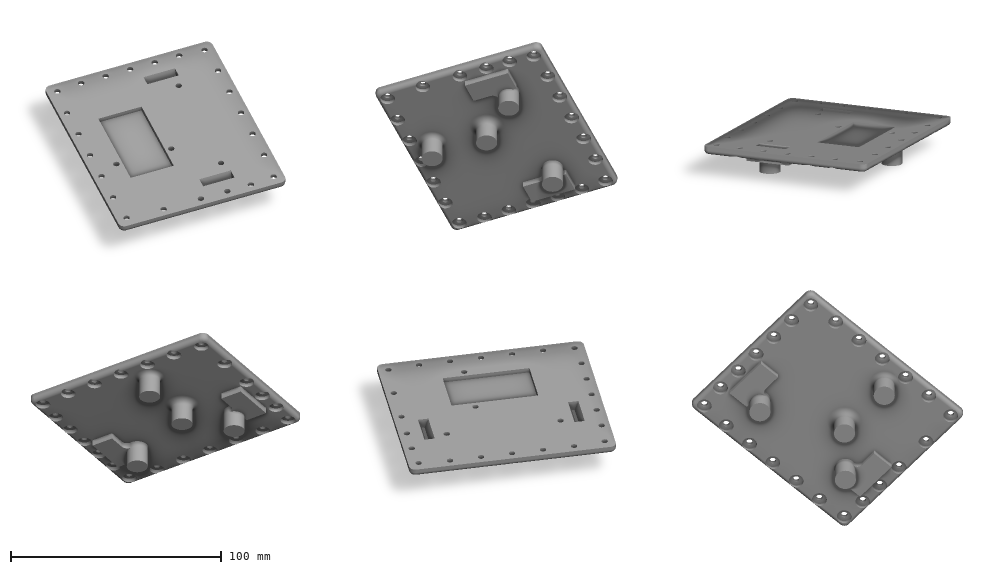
import cadquery as cq
import math

PLATE_X = 100.0
PLATE_Y = 85.0
PLATE_T = 4.0
CORNER_R = 3.0
EDGE_R = 2.0

ROOT_DEPTH = PLATE_T / 2

SCREW_D = 3.0
HEAD_D = 7.0
HEAD_DEPTH = 2.0
CORNER_SCREW_X = 45.0
CORNER_SCREW_Y = 37.5
ROW_SCREW_PITCH = 15.0
ROW_SCREW_Y = 38.5
SIDE_SCREW_X = 46.0
LEFT_SCREW_PITCH = 12.5
RIGHT_SCREW_YS = (25.5, 13.5, 0.0, -19.0)

TOTAL_Z = 15.0
BOSS_D = 10.0
BOSS_HOLE_D = 3.0
BOSS_HOLE_DEPTH = 12.0
SIDE_BOSS_X = 27.5
SIDE_BOSS_Y = 17.5
SIDE_BOSS_FLARE_R = 3.0
SIDE_BOSS_FLARE_H = 1.0
MID_BOSS_X = 10.0
REAR_BOSS_Y = -1.0
REAR_BOSS_FLARE_R = 3.0
FRONT_BOSS_Y = -29.0
FRONT_BOSS_FLARE_R = 2.0

BLOCK_X = 11.0
BLOCK_Y = 22.0
BLOCK_BOTTOM = 7.0
BLOCK_CENTRE_X = 36.5
BLOCK_CENTRE_Y = 12.0
BLEND_R = 3.0
TROUGH_CENTRE_X = 36.3
TROUGH_X = 5.0
TROUGH_FLOOR_X = 1.4
TROUGH_Y = 16.0
TROUGH_DEPTH = 5.0

POCKET_X = 42.0
POCKET_Y = 22.0
POCKET_DEPTH = 2.5
POCKET_CENTRE_Y = -15.0


def make_plate():
    plate = cq.Workplane("XY").box(PLATE_X, PLATE_Y, PLATE_T, centered=(True, True, False))
    plate = plate.translate((0, 0, -PLATE_T))
    plate = plate.edges("|Z").fillet(CORNER_R)
    return plate.faces("<Z").edges().fillet(EDGE_R)


def make_boss(x, y, flare_r, flare_h):
    """Boss reaching the lowest level, with a concave flare of height flare_h under the plate."""
    boss_r = BOSS_D / 2
    sweep = math.asin(flare_h / flare_r)

    def flare_point(angle):
        widening = flare_r * (1 - math.cos(angle))
        rise = flare_r * math.sin(angle)
        return (boss_r + widening, -PLATE_T - flare_h + rise)

    flare_end = flare_point(sweep)
    profile = (
        cq.Workplane("XZ")
        .moveTo(0, -ROOT_DEPTH)
        .lineTo(0, -TOTAL_Z)
        .lineTo(boss_r, -TOTAL_Z)
        .lineTo(*flare_point(0))
        .threePointArc(flare_point(sweep / 2), flare_end)
        .lineTo(flare_end[0], -ROOT_DEPTH)
        .close()
    )
    return profile.revolve(360, (0, 0, 0), (0, 1, 0)).translate((x, y, 0))


def make_block(side):
    """Block on one side (-1 or 1), blended into the neighbouring boss by a concave upright fillet."""
    height = BLOCK_BOTTOM - ROOT_DEPTH
    block = (
        cq.Workplane("XY", origin=(side * BLOCK_CENTRE_X, BLOCK_CENTRE_Y, -BLOCK_BOTTOM))
        .rect(BLOCK_X, BLOCK_Y)
        .extrude(height)
    )
    wall_x = BLOCK_CENTRE_X - BLOCK_X / 2
    circle_x = wall_x - BLEND_R
    reach = BOSS_D / 2 + BLEND_R
    circle_y = SIDE_BOSS_Y - math.sqrt(reach**2 - (circle_x - SIDE_BOSS_X) ** 2)
    web = (
        cq.Workplane("XY", origin=(0, 0, -BLOCK_BOTTOM))
        .polyline([
            (side * wall_x, circle_y),
            (side * circle_x, circle_y),
            (side * SIDE_BOSS_X, SIDE_BOSS_Y),
            (side * wall_x, SIDE_BOSS_Y),
        ])
        .close()
        .extrude(height)
    )
    blend = (
        cq.Workplane("XY", origin=(side * circle_x, circle_y, -BLOCK_BOTTOM))
        .circle(BLEND_R)
        .extrude(height)
    )
    return block.union(web.cut(blend))


def make_trough(side):
    half_top = TROUGH_X / 2
    half_floor = TROUGH_FLOOR_X / 2
    return (
        cq.Workplane("XZ")
        .polyline([
            (-half_top, 0),
            (half_top, 0),
            (half_floor, -TROUGH_DEPTH),
            (-half_floor, -TROUGH_DEPTH),
        ])
        .close()
        .extrude(TROUGH_Y / 2, both=True)
        .translate((side * TROUGH_CENTRE_X, BLOCK_CENTRE_Y, 0))
    )


def screw_positions():
    corners = [(sx * CORNER_SCREW_X, sy * CORNER_SCREW_Y) for sx in (-1, 1) for sy in (-1, 1)]
    rows = [(i * ROW_SCREW_PITCH, sy * ROW_SCREW_Y) for i in range(-2, 3) for sy in (-1, 1)]
    left = [(-SIDE_SCREW_X, i * LEFT_SCREW_PITCH) for i in range(-2, 3)]
    right = [(SIDE_SCREW_X, y) for y in RIGHT_SCREW_YS]
    return corners + rows + left + right


def make_holes(points, diameter, z_bottom, depth):
    return cq.Workplane("XY", origin=(0, 0, z_bottom)).pushPoints(points).circle(diameter / 2).extrude(depth)


bosses = [
    (-SIDE_BOSS_X, SIDE_BOSS_Y, SIDE_BOSS_FLARE_R, SIDE_BOSS_FLARE_H),
    (SIDE_BOSS_X, SIDE_BOSS_Y, SIDE_BOSS_FLARE_R, SIDE_BOSS_FLARE_H),
    (MID_BOSS_X, REAR_BOSS_Y, REAR_BOSS_FLARE_R, REAR_BOSS_FLARE_R),
    (MID_BOSS_X, FRONT_BOSS_Y, FRONT_BOSS_FLARE_R, FRONT_BOSS_FLARE_R),
]

result = make_plate()
for boss in bosses:
    result = result.union(make_boss(*boss))
for block_side in (-1, 1):
    result = result.union(make_block(block_side))
    result = result.cut(make_trough(block_side))

pocket = (
    cq.Workplane("XY", origin=(0, POCKET_CENTRE_Y, -POCKET_DEPTH))
    .rect(POCKET_X, POCKET_Y)
    .extrude(POCKET_DEPTH)
)
result = result.cut(pocket)

screws = screw_positions()
result = result.cut(make_holes(screws, SCREW_D, -PLATE_T, PLATE_T))
result = result.cut(make_holes(screws, HEAD_D, -PLATE_T, HEAD_DEPTH))

boss_centres = [boss[:2] for boss in bosses]
result = result.cut(make_holes(boss_centres, BOSS_HOLE_D, -BOSS_HOLE_DEPTH, BOSS_HOLE_DEPTH))